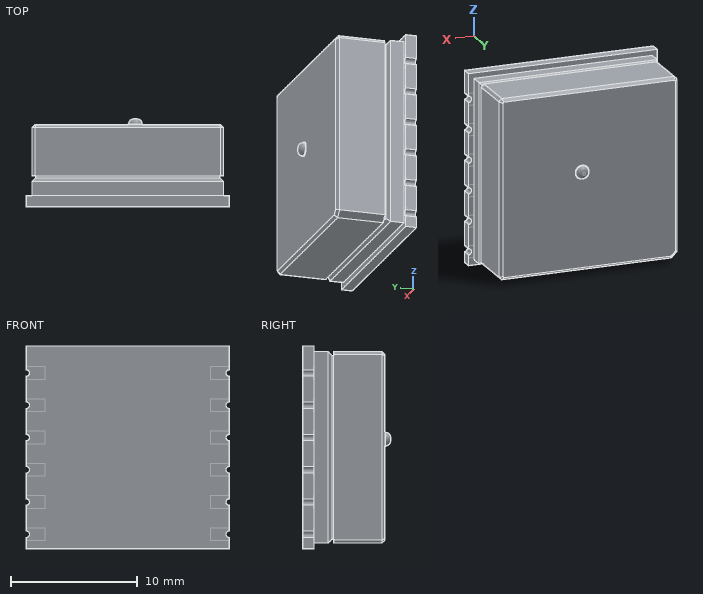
import cadquery as cq

BOARD_SIZE = 16.0
BOARD_THICKNESS = 0.9

BODY_SIZE = 15.1
BASE_HEIGHT = 1.4
BASE_CHAMFER = 0.3
NECK_SIZE = BODY_SIZE - 2 * BASE_CHAMFER
NECK_HEIGHT = 0.15
CAP_HEIGHT = 4.03
CAP_CHAMFER = 0.24
KEY_CORNER_CHAMFER = 0.5

FLANGE_RADIUS = 0.575
FLANGE_HEIGHT = 0.05
BUTTON_RADIUS = 0.54
BUTTON_HEIGHT = 0.47
BUTTON_ROUNDING = 0.42
BUTTON_X = 0.6
BUTTON_Z = 0.65

PAD_COUNT = 6
PAD_PITCH = 2.54
PAD_ROW_CENTRE_Z = -0.5
PAD_LENGTH = 1.5
PAD_WIDTH = 1.0
PAD_THICKNESS = 0.035
NOTCH_RADIUS = 0.25

BASE_TOP = BOARD_THICKNESS + BASE_HEIGHT
CAP_BOTTOM = BASE_TOP + NECK_HEIGHT
CAP_TOP = CAP_BOTTOM + CAP_HEIGHT


def square_layer(size, bottom, height):
    """Square plate centred on the Y axis, rising along +Y from bottom."""
    return cq.Workplane("XY").box(size, height, size).translate((0, bottom + height / 2, 0))


def make_base():
    """Lower housing with its upper rim chamfered down to the neck."""
    base = square_layer(BODY_SIZE, BOARD_THICKNESS, BASE_HEIGHT)
    return base.faces(">Y").edges().chamfer(BASE_CHAMFER)


def make_cap():
    """Upper housing with chamfered corners, one larger to mark the orientation."""
    cap = square_layer(BODY_SIZE, CAP_BOTTOM, CAP_HEIGHT)
    mid_height = CAP_BOTTOM + CAP_HEIGHT / 2
    key_edge = cq.selectors.NearestToPointSelector((-BODY_SIZE / 2, mid_height, -BODY_SIZE / 2))
    cap = cap.edges(key_edge).chamfer(KEY_CORNER_CHAMFER)
    cap = cap.edges("|Y").edges(">X or >Z").chamfer(CAP_CHAMFER)
    return cap.faces(">Y").edges().chamfer(CAP_CHAMFER)


def make_button():
    """Flanged stud on the cap, its rim rounded nearly into a dome."""
    start = cq.Workplane("XZ", origin=(BUTTON_X, CAP_TOP, BUTTON_Z))
    flange = start.circle(FLANGE_RADIUS).extrude(-FLANGE_HEIGHT)
    stud = start.circle(BUTTON_RADIUS).extrude(-BUTTON_HEIGHT)
    return flange.union(stud.faces(">Y").edges().fillet(BUTTON_ROUNDING))


def pad_positions():
    """Centres of the pads at the board edge, as (side, z) with side -1 or +1 for X."""
    first_z = PAD_ROW_CENTRE_Z - PAD_PITCH * (PAD_COUNT - 1) / 2
    return [(side, first_z + i * PAD_PITCH) for side in (-1, 1) for i in range(PAD_COUNT)]


def make_pad_seat(side, z, bottom):
    """Block at the board edge that one pad fills, rising along +Y from bottom."""
    block = cq.Workplane("XY").box(PAD_LENGTH, PAD_THICKNESS, PAD_WIDTH)
    return block.translate((side * (BOARD_SIZE - PAD_LENGTH) / 2, bottom + PAD_THICKNESS / 2, z))


def make_notch(side, z):
    """Round cutter on the board edge, through the whole board, its seam facing outwards."""
    edge_plane = cq.Plane(origin=(side * BOARD_SIZE / 2, 0, z), xDir=(side, 0, 0), normal=(0, -1, 0))
    return cq.Workplane(edge_plane).circle(NOTCH_RADIUS).extrude(-BOARD_THICKNESS)


def make_board():
    """Notched carrier board; the pads lie flush but keep faces of their own."""
    board = square_layer(BOARD_SIZE, 0, BOARD_THICKNESS)
    for side, z in pad_positions():
        notch = make_notch(side, z)
        board = board.cut(notch, clean=False)
        for bottom in (0, BOARD_THICKNESS - PAD_THICKNESS):
            seat = make_pad_seat(side, z, bottom)
            pad = seat.cut(notch)
            board = board.cut(seat, clean=False).union(pad, clean=False)
    return board


neck = square_layer(NECK_SIZE, BASE_TOP, NECK_HEIGHT)

result = make_board()
for feature in (make_base(), neck, make_cap(), make_button()):
    result = result.union(feature, clean=False)